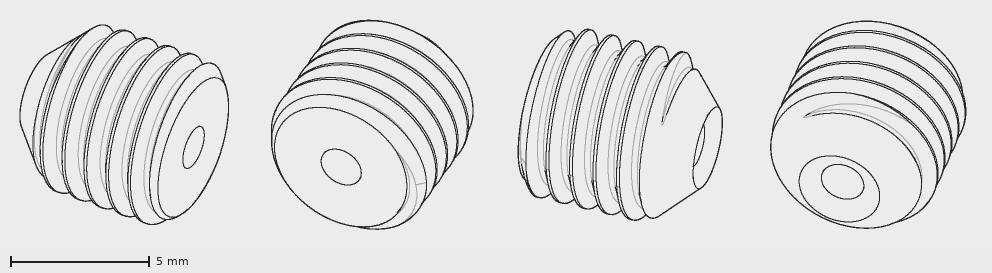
import cadquery as cq
import math


INCH = 25.4
length = INCH / 4
major_radius = INCH / 8
pitch = INCH / 28
point_radius = 1.52
bore_radius = 0.8
end_radius = 2.66
cup_half_angle = 60
flank_half_angle = 30
groove_top_x = 2.05
flank_overshoot = 0.04

point_length = major_radius - point_radius
end_chamfer = major_radius - end_radius
cup_depth = (point_radius - bore_radius) / math.tan(math.radians(cup_half_angle))

flank_slope = math.tan(math.radians(flank_half_angle))
sharp_height = pitch / 2 / flank_slope
root_arc_radius = sharp_height / 6
sharp_root_radius = major_radius - sharp_height * 7 / 8
root_arc_center = sharp_root_radius + root_arc_radius / math.sin(math.radians(flank_half_angle))
root_radius = root_arc_center - root_arc_radius


def make_blank():
    """Turned body: cup, point cone, cylinder, end chamfer and through bore."""
    profile = (
        cq.Workplane("XY")
        .moveTo(cup_depth, bore_radius)
        .lineTo(0, point_radius)
        .lineTo(point_length, major_radius)
        .lineTo(length - end_chamfer, major_radius)
        .lineTo(length, end_radius)
        .lineTo(length, bore_radius)
        .close()
    )
    return profile.revolve(360, (0, 0, 0), (1, 0, 0))


def make_thread_groove():
    """Right-handed helical cutter that runs off both ends of the body."""
    lead_in_turns = 2
    lead_out_turns = 1
    start_x = groove_top_x - lead_in_turns * pitch
    turns = math.ceil((length - start_x) / pitch) + lead_out_turns
    path = cq.Wire.makeHelix(pitch, turns * pitch, root_radius)

    mouth_radius = major_radius + flank_overshoot
    mouth_half_width = (mouth_radius - sharp_root_radius) * flank_slope
    tangent_radius = root_arc_center - root_arc_radius * math.sin(math.radians(flank_half_angle))
    tangent_half_width = root_arc_radius * math.cos(math.radians(flank_half_angle))
    groove = (
        cq.Workplane("XZ")
        .moveTo(mouth_radius, -mouth_half_width)
        .lineTo(tangent_radius, -tangent_half_width)
        .threePointArc((root_radius, 0), (tangent_radius, tangent_half_width))
        .lineTo(mouth_radius, mouth_half_width)
        .close()
        .sweep(cq.Workplane(obj=path), isFrenet=True)
    )
    groove = groove.rotate((0, 0, 0), (0, 0, 1), 180)
    groove = groove.rotate((0, 0, 0), (0, 1, 0), 90)
    return groove.translate((start_x, 0, 0))


result = make_blank().cut(make_thread_groove())